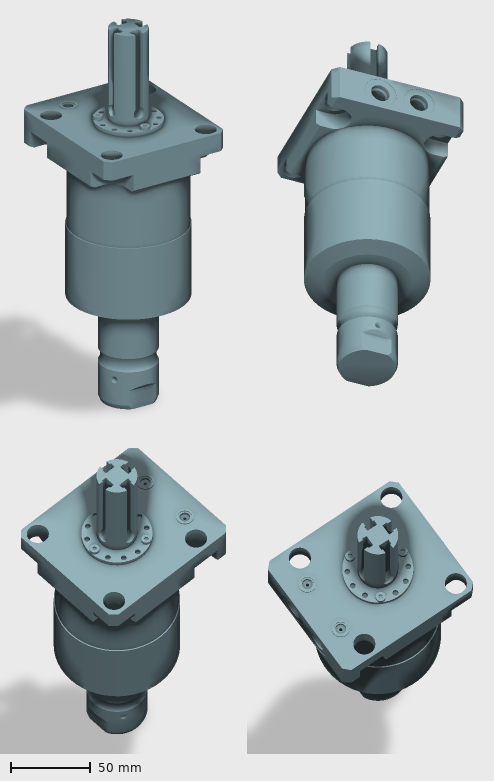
import cadquery as cq
import math

total_height = 255.5
groove_bottom = 26.0
groove_top = 35.2
body_bottom = 69.0
body_edge = 72.0
body_step = 121.0
plate_bottom = 165.3
plate_top = 189.8
cover_top = 192.8

spigot_radius = 19.2
groove_depth = 1.5
spigot_chamfer_width = 1.3
spigot_chamfer_height = 3.0
body_radius = 39.5
upper_body_radius = 38.8
underside_radius = 28.0
cover_radius = 22.2
shaft_radius = 12.8

flat_distance = 16.3
flat_height = 13.3
dimple_radius = 2.3
dimple_depth = 2.0
dimple_z = 20.0
dimple_angles = (60, 180, 300)

plate_left = -55.7
plate_right = 44.5
plate_half_width = 44.5
corner_chamfer = 4.0
edge_chamfer_width = 3.0
edge_chamfer_height = 1.5
end_chamfer = 1.0
bolt_offset = 35.0
bolt_radius = 7.0
relief_radius = 10.0
relief_top = 177.3

port_y = 13.0
port_z = 177.0
port_mouth_radius = 6.1
port_mouth_depth = 3.0
port_radius = 5.0
port_depth = 14.3
spotface_radius = 10.7
spotface_depth = 0.3
adjuster_x = -41.0
adjuster_y = 18.1
adjuster_radius = 5.5
adjuster_height = 0.8
adjuster_rim_radius = 4.3
adjuster_bore_radius = 3.3
adjuster_bore_depth = 2.5
adjuster_drill_radius = 1.0

cover_hole_count = 12
screw_every = 4
cover_pitch_radius = 19.2
cover_hole_radius = 1.8
cover_hole_depth = 2.5
screw_radius = 3.0
screw_height = 2.3
socket_diameter = 3.0
socket_depth = 1.5

slot_count = 4
slot_mouth_width = 5.5
slot_inner_width = 7.5
slot_floor = 6.1
slot_lip = 9.5
slot_end_z = 201.0
slot_end_radius = 3.8


def disc(radius, bottom, top):
    return cq.Workplane("XY").workplane(offset=bottom).circle(radius).extrude(top - bottom)


def cylinder_at(x, y, radius, bottom, top):
    return disc(radius, bottom, top).translate((x, y, 0))


def turned_body():
    """Spigot, body and shaft as one revolved profile."""
    groove_middle = (groove_bottom + groove_top) / 2
    return (
        cq.Workplane("XZ")
        .moveTo(0, 0)
        .lineTo(spigot_radius - spigot_chamfer_width, 0)
        .lineTo(spigot_radius, spigot_chamfer_height)
        .lineTo(spigot_radius, groove_bottom)
        .threePointArc(
            (spigot_radius - groove_depth, groove_middle),
            (spigot_radius, groove_top),
        )
        .lineTo(spigot_radius, body_bottom)
        .lineTo(underside_radius, body_bottom)
        .lineTo(body_radius, body_edge)
        .lineTo(body_radius, body_step)
        .lineTo(upper_body_radius, body_step)
        .lineTo(upper_body_radius, plate_top)
        .lineTo(cover_radius, plate_top)
        .lineTo(cover_radius, cover_top)
        .lineTo(shaft_radius, cover_top)
        .lineTo(shaft_radius, total_height)
        .lineTo(0, total_height)
        .close()
        .revolve(360, (0, 0, 0), (0, 1, 0))
    )


def spigot_flat():
    """Cutter for the +X flat, with a 45 degree run-out at its top."""
    run_out = spigot_radius - flat_distance
    return (
        cq.Workplane("XZ")
        .moveTo(flat_distance, 0)
        .lineTo(flat_distance, flat_height)
        .lineTo(spigot_radius, flat_height + run_out)
        .lineTo(spigot_radius, 0)
        .close()
        .extrude(spigot_radius, both=True)
    )


def spigot_dimple(angle):
    """Conical dimple for a set screw, pointing to the axis."""
    direction = cq.Vector(math.cos(math.radians(angle)), math.sin(math.radians(angle)), 0)
    mouth = direction * spigot_radius + cq.Vector(0, 0, dimple_z)
    return cq.Solid.makeCone(dimple_radius, 0, dimple_depth, mouth, -direction)


def relief(x_sign, y_sign):
    """Pocket round a bolt hole under the plate, open to the sides next to it."""
    x = x_sign * bolt_offset
    height = relief_top - plate_bottom
    far = plate_half_width - bolt_offset
    sheet = cq.Workplane("XY").workplane(offset=plate_bottom)
    pocket = cylinder_at(x, y_sign * bolt_offset, relief_radius, plate_bottom, relief_top)
    to_side = (
        sheet.center(x, y_sign * (bolt_offset + far / 2))
        .rect(2 * relief_radius, far)
        .extrude(height)
    )
    pocket = pocket.union(to_side)
    if x_sign > 0:
        reach = far + relief_radius
        to_end = (
            sheet.center(x + far / 2, y_sign * (bolt_offset + (far - relief_radius) / 2))
            .rect(far, reach)
            .extrude(height)
        )
        pocket = pocket.union(to_end)
    return pocket


def mounting_plate():
    length = plate_right - plate_left
    plate = (
        cq.Workplane("XY")
        .workplane(offset=plate_bottom)
        .center((plate_left + plate_right) / 2, 0)
        .rect(length, 2 * plate_half_width)
        .extrude(plate_top - plate_bottom)
        .edges("|Z")
        .chamfer(corner_chamfer)
        .faces(">X")
        .edges("<Z")
        .chamfer(end_chamfer)
    )
    for y_sign in (-1, 1):
        bevel = (
            cq.Workplane("YZ")
            .workplane(offset=plate_left)
            .moveTo(y_sign * plate_half_width, plate_bottom)
            .lineTo(y_sign * plate_half_width, plate_bottom + edge_chamfer_height)
            .lineTo(y_sign * (plate_half_width - edge_chamfer_width), plate_bottom)
            .close()
            .extrude(length)
        )
        plate = plate.cut(bevel)
        for x_sign in (-1, 1):
            bolt_hole = cylinder_at(
                x_sign * bolt_offset, y_sign * bolt_offset, bolt_radius, plate_bottom, plate_top
            )
            plate = plate.cut(relief(x_sign, y_sign)).cut(bolt_hole)
    return plate


def port(y):
    """Cutter for a spot-faced, stepped port in the -X end of the plate."""
    face = cq.Workplane("YZ", origin=(plate_left, y, port_z))
    spotface = face.circle(spotface_radius).extrude(spotface_depth)
    mouth = face.circle(port_mouth_radius).extrude(port_mouth_depth)
    bore = face.circle(port_radius).extrude(port_depth)
    step = cq.Solid.makeCone(
        port_mouth_radius,
        port_radius,
        port_mouth_radius - port_radius,
        cq.Vector(plate_left + port_mouth_depth, y, port_z),
        cq.Vector(1, 0, 0),
    )
    return spotface.union(mouth).union(bore).union(step)


def adjuster_rim(y):
    """Raised rim round an adjusting screw."""
    return cylinder_at(
        adjuster_x, y, adjuster_radius, plate_top, plate_top + adjuster_height
    )


def adjuster_recess(y):
    """Cutter for the stepped recess of an adjusting screw, drilled down to the port."""
    rim_z = plate_top + adjuster_height
    counterbore = cylinder_at(adjuster_x, y, adjuster_rim_radius, plate_top, rim_z)
    bore = cylinder_at(adjuster_x, y, adjuster_bore_radius, rim_z - adjuster_bore_depth, rim_z)
    drill = cylinder_at(adjuster_x, y, adjuster_drill_radius, port_z - port_radius, rim_z)
    return counterbore.union(bore).union(drill)


def cover_screw(x, y):
    head_top = cover_top + screw_height
    socket = (
        cq.Workplane("XY", origin=(x, y, head_top))
        .polygon(6, socket_diameter)
        .extrude(-socket_depth)
    )
    return cylinder_at(x, y, screw_radius, cover_top, head_top).cut(socket)


def shaft_slot():
    """Cutter for the +X T-slot with its round entry at the lower end."""
    height = total_height - slot_end_z

    def channel(start, end, width):
        return cq.Workplane("XY").box(
            end - start, width, height, centered=(False, True, False)
        ).translate((start, 0, slot_end_z))

    entry = (
        cq.Workplane("YZ", origin=(slot_floor, 0, slot_end_z))
        .circle(slot_end_radius)
        .extrude(shaft_radius - slot_floor)
    )
    inner = channel(slot_floor, slot_lip, slot_inner_width)
    mouth = channel(slot_lip, shaft_radius, slot_mouth_width)
    return inner.union(mouth).union(entry)


part = turned_body().union(mounting_plate())

for flat_angle in (0, 180):
    part = part.cut(spigot_flat().rotate((0, 0, 0), (0, 0, 1), flat_angle))

for dimple_angle in dimple_angles:
    part = part.cut(cq.Workplane(spigot_dimple(dimple_angle)))

for slot_index in range(slot_count):
    part = part.cut(shaft_slot().rotate((0, 0, 0), (0, 0, 1), slot_index * 360 / slot_count))

for side in (-1, 1):
    part = part.union(adjuster_rim(side * adjuster_y))
    part = part.cut(port(side * port_y)).cut(adjuster_recess(side * adjuster_y))

for hole_index in range(cover_hole_count):
    hole_angle = 2 * math.pi * hole_index / cover_hole_count
    hole_x = cover_pitch_radius * math.cos(hole_angle)
    hole_y = cover_pitch_radius * math.sin(hole_angle)
    if hole_index % screw_every == 0:
        part = part.union(cover_screw(hole_x, hole_y))
    else:
        hole_bottom = cover_top - cover_hole_depth
        part = part.cut(cylinder_at(hole_x, hole_y, cover_hole_radius, hole_bottom, cover_top))

result = part